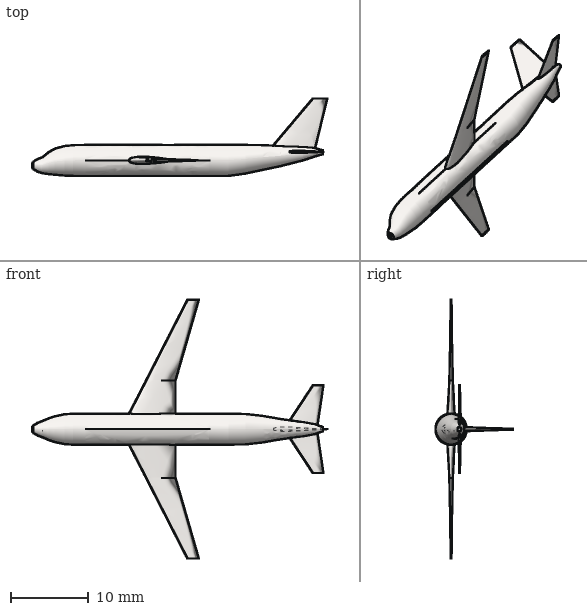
import cadquery as cq
import math

LENGTH = 38.07
HEIGHT = 10.0
SPAN = 33.4
BODY_R = 2.0

FUSELAGE = [
    (0.0, -0.9, -0.38, 0.25),
    (0.2, -1.18, -0.15, 0.55),
    (0.5, -1.35, 0.08, 0.7),
    (0.72, -1.5, 0.2, 0.85),
    (1.35, -1.68, 0.4, 1.05),
    (2.15, -1.8, 1.05, 1.4),
    (2.95, -1.85, 1.52, 1.68),
    (4.2, -1.98, 1.85, 1.95),
    (5.33, -BODY_R, 1.98, BODY_R),
    (6.93, -BODY_R, BODY_R, BODY_R),
    (22.85, -BODY_R, BODY_R, BODY_R),
    (25.35, -BODY_R, BODY_R, BODY_R),
    (27.52, -1.7, BODY_R, 1.98),
    (29.85, -1.2, 1.98, 1.7),
    (32.0, -0.75, 1.85, 1.35),
    (35.0, 0.0, 1.75, 0.9),
    (36.47, 0.5, 1.6, 0.65),
    (37.55, 0.8, 1.3, 0.25),
]

WING_Y = 0.0
WING_INNER_TRAILING = 18.5
WING_STATIONS = [
    (0.0, 11.45, WING_INNER_TRAILING, 1.2),
    (6.3, 14.7, WING_INNER_TRAILING, 0.5),
    (SPAN / 2, 20.02, 21.5, 0.15),
]
STABILIZER_Y = 1.1
STABILIZER_STATIONS = [
    (0.0, 32.47, 36.75, 0.38),
    (5.67, 36.2, 37.58, 0.1),
]
FIN_STATIONS = [
    (1.15, 30.4, 36.4, 0.6),
    (HEIGHT - BODY_R, 36.2, LENGTH, 0.15),
]

PROFILE_STEPS = 10


def fuselage():
    """Straight-sided loft through upright elliptical stations."""
    rings = []
    for x, bottom, top, half_width in FUSELAGE:
        center = cq.Vector(x, (bottom + top) / 2, 0)
        half_height = (top - bottom) / 2
        plane = cq.Plane(origin=center, xDir=(0, 0, 1), normal=(1, 0, 0))
        rings.append(cq.Workplane(plane).ellipse(half_width, half_height).wire().val())
    return cq.Workplane(cq.Solid.makeLoft(rings, True))


def half_thickness(c):
    """Half thickness of a symmetric four-digit NACA airfoil of unit thickness at chord fraction c."""
    return 5 * (0.2969 * math.sqrt(c) - 0.126 * c - 0.3516 * c**2 + 0.2843 * c**3 - 0.1036 * c**4)


def airfoil(plane, leading, trailing, thickness):
    """Closed airfoil with a sharp trailing edge; the plane's local x runs along the chord."""
    chord = trailing - leading
    fractions = [(1 - math.cos(math.pi * i / PROFILE_STEPS)) / 2 for i in range(PROFILE_STEPS + 1)]
    upper = [(leading + chord * c, thickness * half_thickness(c)) for c in fractions]
    upper[-1] = (trailing, 0)
    lower = [(x, -h) for x, h in upper]
    outline = upper[::-1] + lower[1:]
    return cq.Workplane(plane).spline(outline).wire().val()


def lifting_surface(stations, origin, span):
    """Straight-sided loft of airfoils stacked from the origin along the span direction."""
    sections = []
    for distance, leading, trailing, thickness in stations:
        base = cq.Vector(*origin) + cq.Vector(*span) * distance
        plane = cq.Plane(origin=base, xDir=(1, 0, 0), normal=span)
        sections.append(airfoil(plane, leading, trailing, thickness))
    return cq.Workplane(cq.Solid.makeLoft(sections, True))


def mirrored_pair(stations, height):
    """Left and right surfaces that meet on the centre plane at the given height."""
    side = lifting_surface(stations, (0, height, 0), (0, 0, 1))
    return side.union(side.mirror("XY"))


wings = mirrored_pair(WING_STATIONS, WING_Y)
stabilizers = mirrored_pair(STABILIZER_STATIONS, STABILIZER_Y)
fin = lifting_surface(FIN_STATIONS, (0, 0, 0), (0, 1, 0))

result = fuselage().union(wings).union(stabilizers).union(fin)